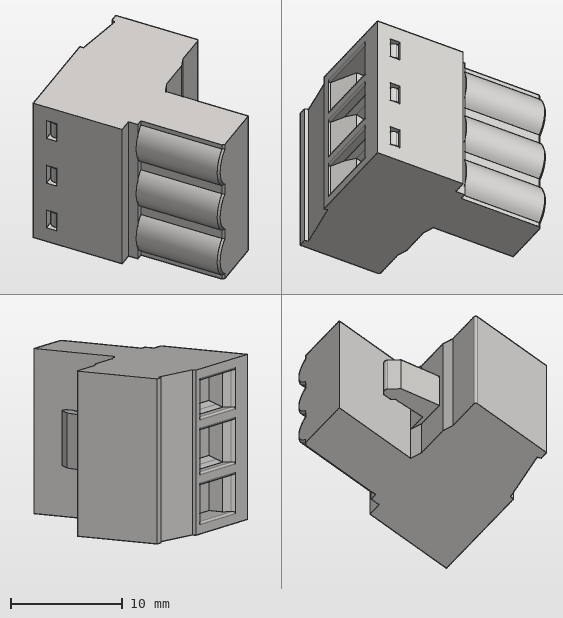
import cadquery as cq
import math


LENGTH = 18.1
DEPTH = 15.05
HEIGHT = 15.0
POLES = 3
PITCH = 5.0
MID_Z = HEIGHT / 2
POLE_CENTRES = [MID_Z + (i - (POLES - 1) / 2) * PITCH for i in range(POLES)]

REAR_SHOULDER_Y = 9.43
REAR_SHOULDER_X = 0.36
LABEL_TOP = (1.15, 14.12)
RIM_X = 0.81
RIM_Y = 14.28
CREST_X = 9.09
CREST_RADIUS = 0.22
CREST_END_Y = 11.85
WAIST_X = 9.43
WAIST_TOP_Y = 10.9
WAIST_BOTTOM_Y = 7.9
PLUG_START_X = 9.81
PLUG_TOP_Y = 6.82
PLUG_BOTTOM_Y = 1.9
FOOT_END_X = 8.89
FOOT_STEP_Y = 1.29

BARREL_BOTTOM_Y = 0.95
BARREL_CHORD = 4.09
NOSE_CHAMFER = 0.2

LATCH_WIDTH = PITCH
LATCH_ROOT_TOP_Y = 10.39
LATCH_UNDERSIDE_Y = 8.5
LATCH_SHOULDER = (13.18, 9.55)
LATCH_TIP_TOP = (14.08, 8.76)
LATCH_TIP = (14.2, 8.47)
LATCH_HOOK_END_X = 13.97
LATCH_HOOK_START_X = 13.2
LATCH_HOOK_Y = 8.09
LATCH_HOOK_ROOT = (12.85, 8.36)

ENTRY_BOTTOM_Y = 2.2
ENTRY_TOP_Y = 8.67
ENTRY_HALF_WIDTH = 2.12
ENTRY_END_WALL = 0.87
ENTRY_LIP_RADIUS = 0.2
ENTRY_DEPTH = 2.3
TAPER_START_X = 0.9
TAPER_BREAK_X = 1.5
TAPER_BREAK_INSET = 0.42
TAPER_END_INSET = 0.69
RAMP_START_X = 0.22
RAMP_END_Y = 6.26
ENTRY_FLOOR_BREAK = (0.33, 2.48)
ENTRY_FLOOR_END = (0.9, 2.97)

WINDOW_X = 1.32
WINDOW_LENGTH = 1.01
WINDOW_WIDTH = 1.97
WINDOW_DEPTH = 0.8
CONTACT_X = 1.45
CONTACT_LENGTH = 0.83
CONTACT_WIDTH = 1.54
CONTACT_TOP_Y = 0.16
CONTACT_RADIUS = WINDOW_DEPTH - CONTACT_TOP_Y


def make_body():
    """Side profile of the body and the plug, without the latch."""
    crest_inset = CREST_RADIUS * (1 - math.sqrt(0.5))
    return (
        cq.Workplane("XY")
        .moveTo(0, 0)
        .lineTo(FOOT_END_X, 0)
        .lineTo(FOOT_END_X, FOOT_STEP_Y)
        .lineTo(PLUG_START_X, FOOT_STEP_Y)
        .lineTo(PLUG_START_X, PLUG_BOTTOM_Y)
        .lineTo(LENGTH, PLUG_BOTTOM_Y)
        .lineTo(LENGTH, PLUG_TOP_Y)
        .lineTo(PLUG_START_X, PLUG_TOP_Y)
        .lineTo(WAIST_X, WAIST_BOTTOM_Y)
        .lineTo(WAIST_X, WAIST_TOP_Y)
        .lineTo(CREST_X, CREST_END_Y)
        .lineTo(CREST_X, DEPTH - CREST_RADIUS)
        .threePointArc((CREST_X - crest_inset, DEPTH - crest_inset), (CREST_X - CREST_RADIUS, DEPTH))
        .lineTo(RIM_X, DEPTH)
        .lineTo(RIM_X, RIM_Y)
        .lineTo(*LABEL_TOP)
        .lineTo(REAR_SHOULDER_X, REAR_SHOULDER_Y)
        .lineTo(0, REAR_SHOULDER_Y)
        .close()
        .extrude(HEIGHT)
    )


def make_barrel(centre_z):
    """Circular-segment rib that runs the length of the plug."""
    overlap_y = PLUG_BOTTOM_Y + NOSE_CHAMFER
    half = BARREL_CHORD / 2
    return (
        cq.Workplane("YZ", origin=(PLUG_START_X, 0, centre_z))
        .moveTo(overlap_y, -half)
        .lineTo(PLUG_BOTTOM_Y, -half)
        .threePointArc((BARREL_BOTTOM_Y, 0), (PLUG_BOTTOM_Y, half))
        .lineTo(overlap_y, half)
        .close()
        .extrude(LENGTH - PLUG_START_X)
    )


def make_latch():
    """Hooked arm in the middle of the block, above the plug."""
    return (
        cq.Workplane("XY", origin=(0, 0, MID_Z - LATCH_WIDTH / 2))
        .moveTo(CREST_X - CREST_RADIUS, PLUG_TOP_Y)
        .lineTo(PLUG_START_X, PLUG_TOP_Y)
        .lineTo(PLUG_START_X, LATCH_UNDERSIDE_Y)
        .lineTo(*LATCH_HOOK_ROOT)
        .lineTo(LATCH_HOOK_START_X, LATCH_HOOK_Y)
        .lineTo(LATCH_HOOK_END_X, LATCH_HOOK_Y)
        .threePointArc(LATCH_TIP, LATCH_TIP_TOP)
        .lineTo(*LATCH_SHOULDER)
        .lineTo(WAIST_X, LATCH_ROOT_TOP_Y)
        .lineTo(CREST_X - CREST_RADIUS, LATCH_ROOT_TOP_Y)
        .close()
        .extrude(LATCH_WIDTH)
    )


def make_half_funnel(centre_z, side, half_width, tapered):
    """Part of a wire entry from the pole centre to one side wall, side being +1 or -1 along Z."""
    lip = ENTRY_LIP_RADIUS
    lip_mid_x = lip * (1 - math.sqrt(0.5))
    lip_mid_z = half_width - lip * math.sqrt(0.5)
    sketch = (
        cq.Workplane("XZ", origin=(0, 0, centre_z))
        .moveTo(0, 0)
        .lineTo(0, side * half_width)
        .threePointArc((lip_mid_x, side * lip_mid_z), (lip, side * (half_width - lip)))
    )
    if tapered:
        sketch = (
            sketch.lineTo(TAPER_START_X, side * (half_width - lip))
            .lineTo(TAPER_BREAK_X, side * (half_width - TAPER_BREAK_INSET))
            .lineTo(ENTRY_DEPTH, side * (half_width - TAPER_END_INSET))
        )
    else:
        sketch = sketch.lineTo(ENTRY_DEPTH, side * (half_width - lip))
    return sketch.lineTo(ENTRY_DEPTH, 0).close().extrude(-DEPTH)


def make_entry_plan():
    """Plan of a wire entry: a ramp on the +Y side and a tapered wall on the -Y side."""
    return (
        cq.Workplane("XY")
        .moveTo(0, ENTRY_BOTTOM_Y)
        .lineTo(*ENTRY_FLOOR_BREAK)
        .lineTo(*ENTRY_FLOOR_END)
        .lineTo(ENTRY_DEPTH, ENTRY_FLOOR_END[1])
        .lineTo(ENTRY_DEPTH, RAMP_END_Y)
        .lineTo(TAPER_BREAK_X, RAMP_END_Y)
        .lineTo(RAMP_START_X, ENTRY_TOP_Y)
        .lineTo(0, ENTRY_TOP_Y)
        .close()
        .extrude(HEIGHT)
    )


def make_entry(centre_z):
    """Wire entry pocket; next to an end of the block it stops at a straight end wall."""
    funnel = cq.Workplane("XY")
    for side in (-1, 1):
        room = MID_Z - side * (centre_z - MID_Z) - ENTRY_END_WALL
        half_width = min(ENTRY_HALF_WIDTH, room)
        tapered = room > ENTRY_HALF_WIDTH
        funnel = funnel.add(make_half_funnel(centre_z, side, half_width, tapered))
    return funnel.combine().intersect(make_entry_plan())


def make_window(centre_z):
    """Rectangular recess around a contact whose -X edge is rounded."""
    recess = cq.Workplane("XY").box(WINDOW_LENGTH, WINDOW_DEPTH, WINDOW_WIDTH, centered=(False, False, True))
    contact = (
        cq.Workplane("XY")
        .box(CONTACT_LENGTH, WINDOW_DEPTH, CONTACT_WIDTH, centered=(False, False, True))
        .edges("|Z and <X and <Y")
        .fillet(CONTACT_RADIUS)
        .translate((CONTACT_X - WINDOW_X, CONTACT_TOP_Y, 0))
    )
    return recess.cut(contact).translate((WINDOW_X, 0, centre_z))


result = make_body()
for pole_z in POLE_CENTRES:
    result = result.union(make_barrel(pole_z))

nose_edges = cq.selectors.BoxSelector(
    (LENGTH - NOSE_CHAMFER, 0, 0),
    (LENGTH + NOSE_CHAMFER, PLUG_BOTTOM_Y + NOSE_CHAMFER, HEIGHT),
)
result = result.faces(">X").edges(nose_edges).chamfer(NOSE_CHAMFER)

result = result.union(make_latch())
for pole_z in POLE_CENTRES:
    result = result.cut(make_entry(pole_z))
    result = result.cut(make_window(pole_z))